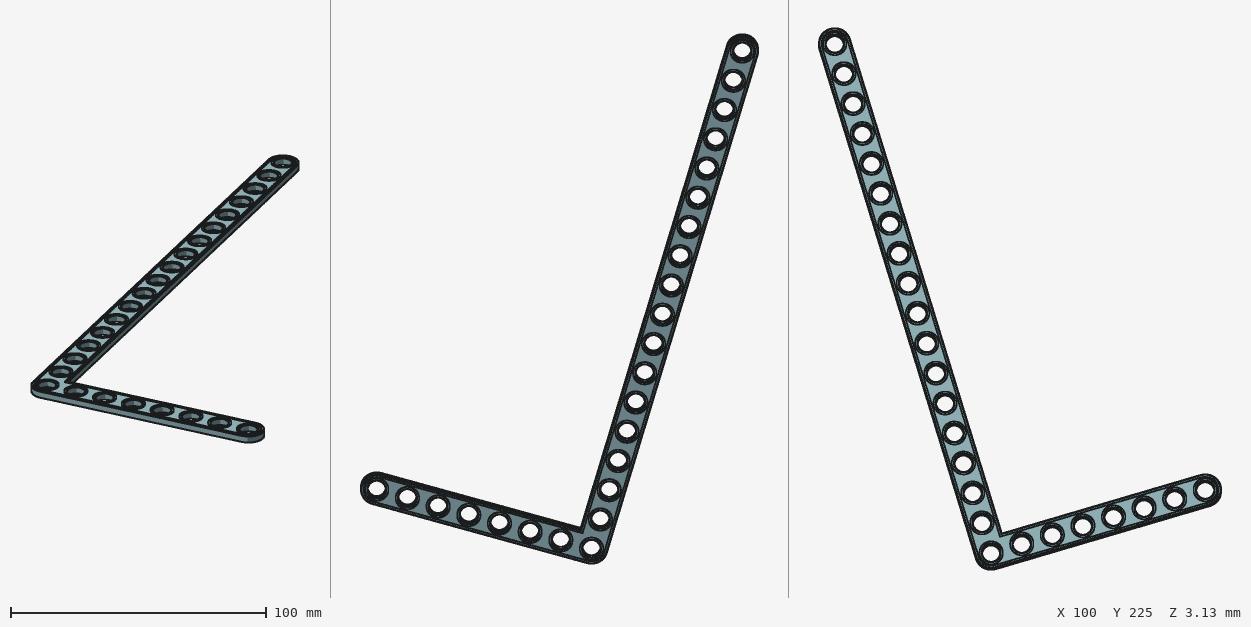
import cadquery as cq
import math

pitch = 12.5
thickness = pitch / 4
long_arm_holes = 18
short_arm_holes = 8
hole_diameter = 7.0
ring_diameter = 9.2
edge_chamfer = 0.3
rim_width = 1.1
recess_depth = 0.2

end_radius = pitch / 2
long_reach = (long_arm_holes - 1) * pitch
short_reach = (short_arm_holes - 1) * pitch


def hole_centres():
    """Hole positions up the long arm, then along the short arm past the corner."""
    long_arm = [(0, i * pitch) for i in range(long_arm_holes)]
    short_arm = [(i * pitch, 0) for i in range(1, short_arm_holes)]
    return long_arm + short_arm


def make_angle(half_width, height):
    """L-shaped slab with round arm ends and a round outer corner, resting on Z = 0."""
    r = half_width
    corner_mid = r * math.sqrt(0.5)
    return (
        cq.Workplane("XY")
        .moveTo(0, -r)
        .lineTo(short_reach, -r)
        .threePointArc((short_reach + r, 0), (short_reach, r))
        .lineTo(r, r)
        .lineTo(r, long_reach)
        .threePointArc((0, long_reach + r), (-r, long_reach))
        .lineTo(-r, 0)
        .threePointArc((-corner_mid, -corner_mid), (0, -r))
        .close()
        .extrude(height)
    )


def make_cylinders(diameter, height):
    """One cylinder at every hole position, resting on Z = 0."""
    return cq.Workplane("XY").pushPoints(hole_centres()).circle(diameter / 2).extrude(height)


def make_drilled_plate():
    """Plate with all through holes, every edge of both faces chamfered."""
    plate = make_angle(end_radius, thickness).cut(make_cylinders(hole_diameter, thickness))
    return plate.faces("<Z or >Z").chamfer(edge_chamfer)


def make_recess():
    """Shallow sunken area inside the rim, leaving a ring standing around each hole."""
    floor = make_angle(end_radius - rim_width, recess_depth)
    return floor.cut(make_cylinders(ring_diameter, recess_depth))


def cut_recesses(plate):
    """Sink the recess into the bottom and the top face."""
    recess = make_recess()
    top_recess = recess.translate((0, 0, thickness - recess_depth))
    return plate.cut(recess).cut(top_recess)


result = cut_recesses(make_drilled_plate())